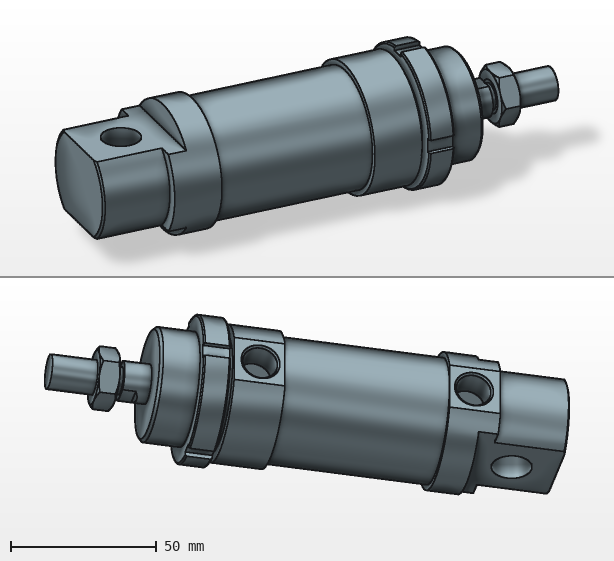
import cadquery as cq
import math


rod_tip = 179.0
nut_front = 163.0
nut_rear = 155.9
rod_shoulder = 153.8
nose_front = 144.3
ring_front = 130.3
ring_rear = 120.8
front_cover_front = 118.9
rear_cover_front = 43.0
cover_length = 17.9
tang_step = 31.9

cover_radius = 24.0
tube_radius = 22.0
boss_radius = 20.0
nose_chamfer = 1.0
tang_chamfer_length = 0.5
tang_chamfer_depth = 1.0
tang_thickness = 29.7
pivot_radius = 7.0
pivot_y = 16.0
port_flat_x = -22.4
port_mouth_radius = 6.8
port_radius = 6.0
port_depth = 10.7
port_inset = 9.3

ring_radius = 26.0
ring_chamfer = 0.5
slot_width = 5.0
slot_floor = 24.2
slot_count = 4

rod_radius = 7.0
thread_radius = 6.0
neck_radius = 4.8
spanner_flat_gap = 12.0
spanner_flat_length = 4.7
spanner_run_out = 1.0
hex_across_flats = 19.0
hex_chamfer_angle = 30.0

front_cover_rear = front_cover_front - cover_length
rear_cover_rear = rear_cover_front - cover_length


def cylinder(radius, y_start, y_end):
    """Round bar on the Y axis."""
    plane = cq.Workplane("XZ", origin=(0, y_start, 0))
    return plane.circle(radius).extrude(y_start - y_end)


def block(x_range, y_range, z_range):
    """Box given by its limits along X, Y and Z."""
    spans = [high - low for low, high in (x_range, y_range, z_range)]
    corner = (x_range[0], y_range[0], z_range[0])
    return cq.Workplane("XY").box(*spans, centered=False).translate(corner)


def port_cutter(center_y):
    """Blind round port with a 45 degree countersunk mouth, sunk from the -X flat."""
    sink = port_mouth_radius - port_radius
    profile = [
        (0, 0),
        (0, port_mouth_radius),
        (sink, port_radius),
        (port_depth, port_radius),
        (port_depth, 0),
    ]
    cutter = cq.Workplane("XY").polyline(profile).close().revolve(360, (0, 0, 0), (1, 0, 0))
    return cutter.translate((port_flat_x, center_y, 0))


def make_cover(y_rear):
    """End cover: a short drum with a flat on its -X side."""
    y_front = y_rear + cover_length
    drum = cylinder(cover_radius, y_rear, y_front)
    beyond_flat = block(
        (-2 * cover_radius, port_flat_x), (y_rear, y_front), (-cover_radius, cover_radius)
    )
    return drum.cut(beyond_flat)


def make_housing():
    nose = cylinder(boss_radius, front_cover_front, nose_front).faces(">Y").chamfer(nose_chamfer)
    tang = cylinder(boss_radius, 0, rear_cover_rear).faces("<Y")
    tang = tang.chamfer(tang_chamfer_length, tang_chamfer_depth)
    tube = cylinder(tube_radius, rear_cover_front, front_cover_rear)
    housing = make_cover(rear_cover_rear).union(tang).union(tube)
    housing = housing.union(make_cover(front_cover_rear)).union(nose)

    for side in (1, -1):
        z_limits = sorted((side * tang_thickness / 2, side * cover_radius))
        housing = housing.cut(block((-cover_radius, cover_radius), (0, tang_step), z_limits))

    pivot = cq.Workplane("XY", origin=(0, pivot_y, 0)).circle(pivot_radius)
    housing = housing.cut(pivot.extrude(tang_thickness / 2, both=True))

    for port_y in (rear_cover_rear + port_inset, front_cover_front - port_inset):
        housing = housing.cut(port_cutter(port_y))
    return housing


def make_ring_nut():
    """Round nut on the nose, with spanner slots around its rim."""
    ring = cylinder(ring_radius, ring_rear, ring_front).edges().chamfer(ring_chamfer)
    ring = ring.cut(cylinder(boss_radius, ring_rear, ring_front))
    slot = block((-slot_width / 2, slot_width / 2), (ring_rear, ring_front), (slot_floor, ring_radius))
    for index in range(slot_count):
        ring = ring.cut(slot.rotate((0, 0, 0), (0, 1, 0), index * 360 / slot_count))
    return ring


def make_rod():
    """Piston rod outside the housing: shank, undercut neck and thread, with two spanner flats."""
    rod = cylinder(rod_radius, nose_front, rod_shoulder)
    rod = rod.union(cylinder(neck_radius, rod_shoulder, nut_rear))
    rod = rod.union(cylinder(thread_radius, nut_rear, rod_tip))

    flat_end = rod_shoulder - spanner_flat_length
    flat_z = spanner_flat_gap / 2
    profile = [
        (rod_shoulder, flat_z),
        (flat_end, flat_z),
        (flat_end - spanner_run_out, rod_radius),
        (rod_shoulder, rod_radius),
    ]
    cutter = cq.Workplane("YZ").polyline(profile).close().extrude(rod_radius, both=True)
    return rod.cut(cutter).cut(cutter.mirror("XY"))


def make_hex_nut():
    """Lock nut on the thread, flats on +Z and -Z, corners chamfered at both faces."""
    face_radius = hex_across_flats / 2
    corner_radius = face_radius / math.cos(math.pi / 6)
    plane = cq.Workplane("XZ", origin=(0, nut_rear, 0))
    hexagon = plane.polygon(6, 2 * corner_radius).extrude(nut_rear - nut_front)

    drop = (corner_radius - face_radius) * math.tan(math.radians(hex_chamfer_angle))
    profile = [
        (0, nut_rear),
        (face_radius, nut_rear),
        (corner_radius, nut_rear + drop),
        (corner_radius, nut_front - drop),
        (face_radius, nut_front),
        (0, nut_front),
    ]
    envelope = cq.Workplane("XY").polyline(profile).close().revolve(360, (0, 0, 0), (0, 1, 0))
    return hexagon.intersect(envelope).cut(cylinder(thread_radius, nut_rear, nut_front))


housing = make_housing()
ring_nut = make_ring_nut()
rod = make_rod()
hex_nut = make_hex_nut()

result = cq.Compound.makeCompound([housing.val(), ring_nut.val(), rod.val(), hex_nut.val()])